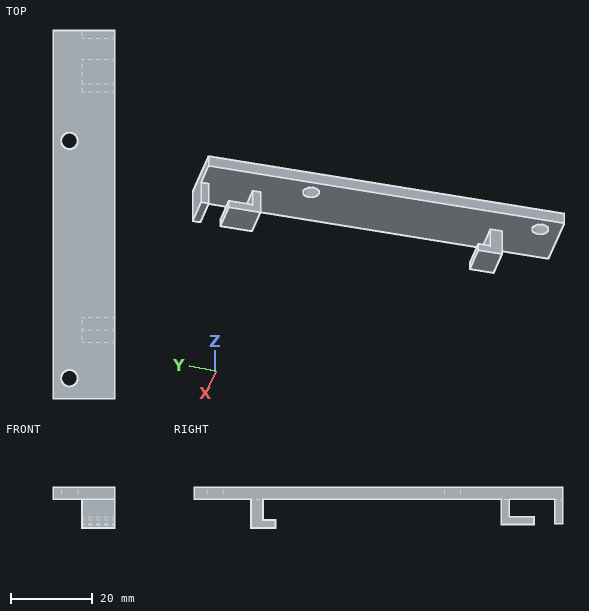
import cadquery as cq

plate_width = 15.0
plate_length = 90.0
plate_thickness = 3.0

hole_diameter = 4.0
hole_from_left = 4.0
hole_from_front = 5.0
hole_spacing = 58.0

tab_width = 8.0
wall = 2.0
end_tab_drop = 6.0

rear_hook_front = 75.0
rear_hook_drop = 6.2
rear_hook_reach = 8.0
rear_lip_thickness = 2.0

front_hook_front = 13.9
front_hook_drop = 7.0
front_hook_reach = 6.0
front_hook_wall = 3.0
front_lip_thickness = 2.0


def hanging_block(front, length, top, bottom):
    """Block against the right edge; heights are relative to the plate underside."""
    return (
        cq.Workplane("XY")
        .box(tab_width, length, top - bottom, centered=False)
        .translate((plate_width - tab_width, front, bottom))
    )


def hook(front, drop, reach, stem_thickness, lip_thickness):
    """L-shaped hook: a stem at the front and a lip pointing to the rear (+Y)."""
    stem = hanging_block(front, stem_thickness, 0, -drop)
    lip = hanging_block(front, reach, lip_thickness - drop, -drop)
    return stem.union(lip)


plate = cq.Workplane("XY").box(plate_width, plate_length, plate_thickness, centered=False)
hole_centers = [
    (hole_from_left, hole_from_front),
    (hole_from_left, hole_from_front + hole_spacing),
]
holes = cq.Workplane("XY").pushPoints(hole_centers).circle(hole_diameter / 2).extrude(plate_thickness)

end_tab = hanging_block(plate_length - wall, wall, 0, -end_tab_drop)
rear_hook = hook(rear_hook_front, rear_hook_drop, rear_hook_reach, wall, rear_lip_thickness)
front_hook = hook(
    front_hook_front, front_hook_drop, front_hook_reach, front_hook_wall, front_lip_thickness
)

result = plate.cut(holes).union(end_tab).union(rear_hook).union(front_hook)